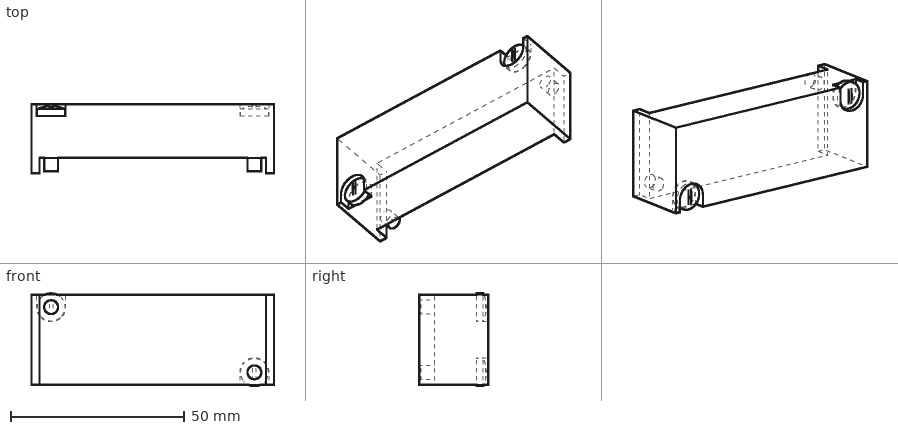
import cadquery as cq
import math

length = 70.0
depth = 20.0
height = 26.0
cheek_thickness = 2.4
cheek_reach = 4.5

screw_inset_x = 5.7
screw_inset_z = 3.6
shank_diameter = 4.0
shank_tip_setback = 0.6
head_diameter = 8.0
head_rim_thickness = 2.0
dome_height = 0.9
slot_width = 1.0
slot_depth = 0.25

pocket_width = 8.4
pocket_depth = 3.5

screw_z = height - screw_inset_z
head_seat_y = depth - pocket_depth
rim_end_y = head_seat_y + head_rim_thickness
crown_y = rim_end_y + dome_height


def make_body():
    """Block with a cheek at each end of the front face."""
    block = cq.Workplane("XY").box(length, depth, height, centered=False)
    recess_length = length - 2 * cheek_thickness
    recess = cq.Workplane("XY").box(recess_length, cheek_reach, height, centered=False)
    return block.cut(recess.translate((cheek_thickness, 0, 0)))


def make_pocket():
    """Upper left pocket: half round below the screw axis, straight-sided above it."""
    radius = pocket_width / 2
    seat = cq.Plane(origin=(screw_inset_x, head_seat_y, screw_z), xDir=(-1, 0, 0), normal=(0, 1, 0))
    return (
        cq.Workplane(seat)
        .moveTo(-radius, screw_inset_z)
        .lineTo(-radius, 0)
        .threePointArc((0, -radius), (radius, 0))
        .lineTo(radius, screw_inset_z)
        .close()
        .extrude(pocket_depth)
    )


def make_screw():
    """Upper left screw: shank and domed head turned about the Y direction, with a slot."""
    shank_radius = shank_diameter / 2
    head_radius = head_diameter / 2
    dome_radius = (head_radius**2 + dome_height**2) / (2 * dome_height)
    dome_mid_x = head_radius / 2
    dome_mid_y = crown_y - dome_radius + math.sqrt(dome_radius**2 - dome_mid_x**2)
    turned = (
        cq.Workplane("XY", origin=(screw_inset_x, 0, screw_z))
        .moveTo(0, shank_tip_setback)
        .lineTo(shank_radius, shank_tip_setback)
        .lineTo(shank_radius, head_seat_y)
        .lineTo(head_radius, head_seat_y)
        .lineTo(head_radius, rim_end_y)
        .threePointArc((dome_mid_x, dome_mid_y), (0, crown_y))
        .close()
        .revolve(360, (0, 0, 0), (0, 1, 0))
    )
    slot = (
        cq.Workplane("XY")
        .box(slot_width, slot_depth, head_diameter)
        .translate((screw_inset_x, crown_y - slot_depth / 2, screw_z))
    )
    return turned.cut(slot)


def at_both_corners(shape):
    """Return the upper left shape and its copy turned half around the block's middle."""
    middle = (length / 2, 0, height / 2)
    middle_back = (length / 2, depth, height / 2)
    return [shape, shape.rotate(middle, middle_back, 180)]


result = make_body()
for pocket in at_both_corners(make_pocket()):
    result = result.cut(pocket)
for screw in at_both_corners(make_screw()):
    result = result.union(screw)